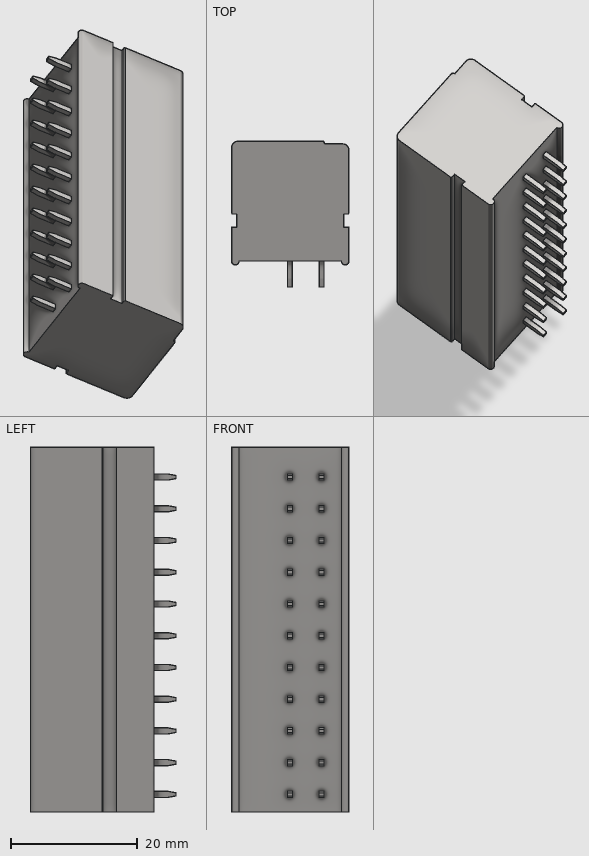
import cadquery as cq

width = 18.5
height = 57.5
depth = 18.9
corner_radius = 1.0

step_depth = 0.4
step_width = 4.0
step_slope = 0.2

groove_front = 5.35
groove_rear = 7.4
rim_bevel_x = 0.1
rim_bevel_y = 0.2
groove_depth = 0.8

rib_radius = 0.6

pin_length = 4.1
pin_straight_length = 2.8
pin_width = 0.8
pin_thickness = 1.0
pin_tip_thickness = 0.5
pin_root = 1.0
pin_rows = 11
pin_pitch = 5.0
first_column_x = -0.05
pin_columns_x = (first_column_x, first_column_x + pin_pitch)
pin_rows_center_z = -0.95


def make_housing():
    side = width / 2
    step_x = side - step_width
    outline = (
        cq.Workplane("XY")
        .workplane(offset=-height / 2)
        .moveTo(-side, 0)
        .lineTo(side, 0)
        .lineTo(side, depth - step_depth)
        .lineTo(step_x + step_slope, depth - step_depth)
        .lineTo(step_x, depth)
        .lineTo(-side, depth)
        .close()
    )
    housing = outline.extrude(height)
    rear_left_edge = cq.selectors.NearestToPointSelector((-side, depth, 0))
    rear_right_edge = cq.selectors.NearestToPointSelector((side, depth - step_depth, 0))
    return housing.edges(rear_left_edge + rear_right_edge).fillet(corner_radius)


def make_groove(direction):
    """Groove cutter for the +X (1) or -X (-1) side."""
    outer_x = direction * width / 2
    rim_x = direction * (width / 2 - rim_bevel_x)
    inner_x = direction * (width / 2 - groove_depth)
    return (
        cq.Workplane("XY")
        .workplane(offset=-height / 2)
        .moveTo(outer_x, groove_front)
        .lineTo(inner_x, groove_front)
        .lineTo(inner_x, groove_rear)
        .lineTo(rim_x, groove_rear)
        .lineTo(outer_x, groove_rear + rim_bevel_y)
        .close()
        .extrude(height)
    )


def make_rib(direction):
    """Round rib, half sunk in the pin face, flush with the +X (1) or -X (-1) side."""
    return (
        cq.Workplane("XY")
        .workplane(offset=-height / 2)
        .center(direction * (width / 2 - rib_radius), 0)
        .circle(rib_radius)
        .extrude(height)
    )


def make_pin(x, z):
    """Pin along -Y, with its root embedded in the housing."""
    half = pin_thickness / 2
    half_tip = pin_tip_thickness / 2
    blade = (
        cq.Workplane("YZ")
        .moveTo(pin_root, -half)
        .lineTo(-pin_straight_length, -half)
        .lineTo(-pin_length, -half_tip)
        .lineTo(-pin_length, half_tip)
        .lineTo(-pin_straight_length, half)
        .lineTo(pin_root, half)
        .close()
        .extrude(pin_width / 2, both=True)
    )
    return blade.translate((x, 0, z))


result = make_housing()
for direction in (-1, 1):
    result = result.union(make_rib(direction)).cut(make_groove(direction))

for row in range(pin_rows):
    pin_z = pin_rows_center_z + (row - (pin_rows - 1) / 2) * pin_pitch
    for pin_x in pin_columns_x:
        result = result.union(make_pin(pin_x, pin_z))